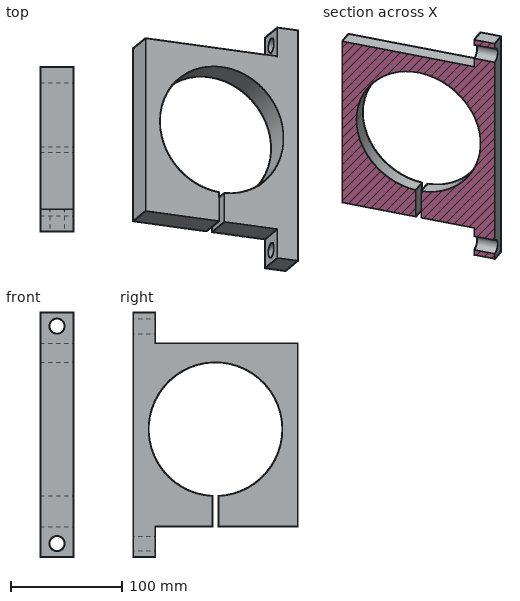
import cadquery as cq

width = 30.0
depth = 148.0
height = 220.0

flange_thickness = 20.0
body_height = 165.0

bore_diameter = 120.0
bore_rise = 5.0
slot_width = 5.0

hole_diameter = 13.5
hole_end_distance = 12.3
hole_spacing = height - 2 * hole_end_distance


def make_blank():
    """Flange and clamp body, centred on the origin."""
    flange = cq.Workplane("XY").box(width, flange_thickness, height)
    flange = flange.translate((0, (flange_thickness - depth) / 2, 0))
    body = cq.Workplane("XY").box(width, depth, body_height)
    return flange.union(body)


def make_bore():
    """Cylinder along X that forms the clamp bore."""
    bore = cq.Workplane("YZ", origin=(-width / 2, 0, 0)).center(0, bore_rise).circle(bore_diameter / 2)
    return bore.extrude(width)


def make_slot():
    """Gap from the bore centre down through the bottom of the body."""
    slot_height = bore_rise + body_height / 2
    slot = cq.Workplane("XY").box(width, slot_width, slot_height)
    return slot.translate((0, 0, bore_rise - slot_height / 2))


def make_mounting_holes():
    """Cylinders along Y, one in each end of the flange."""
    holes = cq.Workplane("XZ", origin=(0, -depth / 2, 0))
    holes = holes.rarray(2.2, hole_spacing, 1, 2).circle(hole_diameter / 2)
    return holes.extrude(-flange_thickness)


result = make_blank().cut(make_bore()).cut(make_slot()).cut(make_mounting_holes())